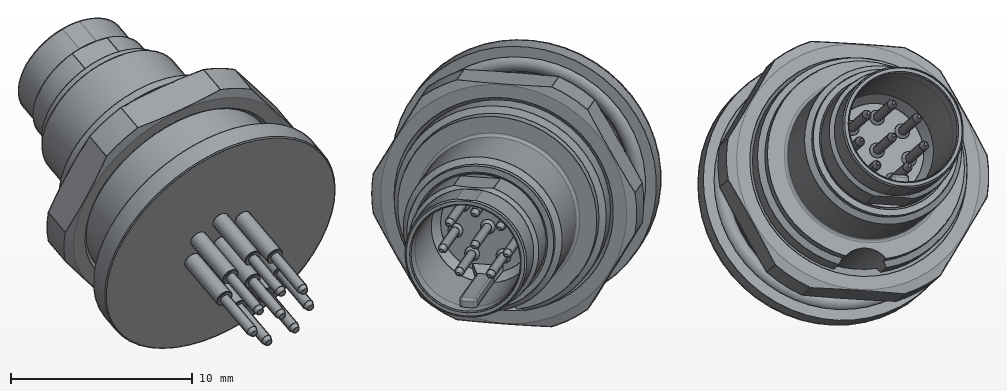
import cadquery as cq
import math


shoulder_start = 1.83
shoulder_end = 2.01
ring_start = 3.67
barrel_start = 4.0
step_start = 7.85
thread_start = 8.4
nut_start = 9.44
nut_end = 11.47
flange_start = 14.43
flange_end = 15.65
boss_end = 19.03
overall_length = 22.1

nose_radius = 6.9 / 2
shoulder_radius = 7.38 / 2
ring_radius = 8.3 / 2
barrel_radius = 9.0 / 2
step_radius = 11.27 / 2
thread_radius = 12.0 / 2
flange_radius = 15.0 / 2

nose_chamfer = 0.09
shoulder_gap_width = 0.1
barrel_chamfer_length = 0.25
barrel_root_fillet = 0.18
thread_chamfer = 0.2
flange_chamfer = 0.07

nose_flat_height = 3.4
shoulder_flat_height = 3.51

keyway_radius = 1.5
keyway_axis_drop = 6.5

seal_bulge = 0.25
seal_section_radius = 0.95 / 2
seal_ring_radius = thread_radius + seal_section_radius

nut_across_flats = 14.01
nut_bore_radius = 5.68
nut_countersink_radius = 6.2
nut_face_radius = 6.96
nut_chamfer_length = 0.13

socket_mouth_radius = 3.1
socket_mouth_chamfer = 0.07
socket_radius = 6.1 / 2
socket_floor_radius = 2.67
socket_lead_in = 0.77
socket_depth = 5.52
socket_taper_length = 0.66

key_start = 0.57
key_half_width = 0.49
key_top_drop = 2.55
key_side_fillet = 0.1
key_front_fillet = 0.18
key_root_half_width = 0.86
key_root_top_drop = 2.2
key_root_length = 0.66

circle_contacts = 7
contact_circle_radius = 3.73 / 2
contact_pitch_angle = 50.5
pin_radius = 0.5 / 2
pin_start = 2.01
pin_tip_radius = 0.09
pin_tip_length = 0.4
collar_radius = 0.85 / 2
collar_height = 0.18
boss_radius = 1.0 / 2
boss_chamfer = 0.05
tail_radius = 0.6 / 2
tail_tip_radius = 0.2
tail_tip_length = 0.27


def revolve_about_axis(outline):
    """Turn a closed outline, drawn as (x, radius), around the X axis."""
    return outline.close().revolve(360, (0, 0, 0), (1, 0, 0))


def turned(points):
    """Solid of revolution from straight (x, radius) segments."""
    return revolve_about_axis(cq.Workplane("XY").polyline(points))


def block(x_start, x_end, half_width, z_bottom, z_top):
    """Box centred on Y = 0."""
    return cq.Workplane("XY").box(
        x_end - x_start, 2 * half_width, z_top - z_bottom, centered=(False, True, False)
    ).translate((x_start, 0, z_bottom))


def make_shell():
    fillet_middle = barrel_root_fillet * (1 - math.sqrt(0.5))
    outline = (
        cq.Workplane("XY")
        .moveTo(0, 0)
        .lineTo(0, nose_radius - nose_chamfer)
        .lineTo(nose_chamfer, nose_radius)
        .lineTo(shoulder_start, nose_radius)
        .lineTo(shoulder_end, shoulder_radius)
        .lineTo(ring_start + shoulder_gap_width, shoulder_radius)
        .lineTo(ring_start, shoulder_radius + shoulder_gap_width)
        .lineTo(ring_start, ring_radius)
        .lineTo(barrel_start, ring_radius)
        .lineTo(barrel_start + barrel_chamfer_length, barrel_radius)
        .lineTo(step_start - barrel_root_fillet, barrel_radius)
        .threePointArc(
            (step_start - fillet_middle, barrel_radius + fillet_middle),
            (step_start, barrel_radius + barrel_root_fillet),
        )
        .lineTo(step_start, step_radius)
        .lineTo(thread_start, step_radius)
        .lineTo(thread_start + thread_chamfer, thread_radius)
        .lineTo(flange_start, thread_radius)
        .lineTo(flange_start, flange_radius)
        .lineTo(flange_end - flange_chamfer, flange_radius)
        .lineTo(flange_end, flange_radius - flange_chamfer)
        .lineTo(flange_end, 0)
    )
    return revolve_about_axis(outline)


def cut_flats(shell):
    """Trim the nose and the shoulder flat on the +Z and -Z sides."""
    for x_start, x_end, height in (
        (0, shoulder_start, nose_flat_height),
        (shoulder_start, ring_start, shoulder_flat_height),
    ):
        above = block(x_start, x_end, shoulder_radius, height, shoulder_radius)
        shell = shell.cut(above).cut(above.mirror("XY"))
    return shell


def make_keyway():
    return (
        cq.Workplane("YZ", origin=(step_start, 0, -keyway_axis_drop))
        .circle(keyway_radius)
        .extrude(flange_start - step_start)
    )


def make_seal():
    return (
        cq.Workplane("XY")
        .center(flange_start - seal_bulge + seal_section_radius, seal_ring_radius)
        .circle(seal_section_radius)
        .revolve(360, (0, -seal_ring_radius, 0), (1, -seal_ring_radius, 0))
    )


def make_nut():
    """Hexagon with flats facing +Z and -Z, its corners turned to the flange diameter."""
    hexagon = (
        cq.Workplane("YZ", origin=(nut_start, 0, 0))
        .polygon(6, nut_across_flats / math.cos(math.pi / 6))
        .extrude(nut_end - nut_start)
    )
    turned_blank = turned([
        (nut_start, 0),
        (nut_start, nut_face_radius),
        (nut_start + nut_chamfer_length, flange_radius),
        (nut_end - nut_chamfer_length, flange_radius),
        (nut_end, nut_face_radius),
        (nut_end, 0),
    ])
    countersink_depth = nut_countersink_radius - nut_bore_radius
    bore = turned([
        (nut_start, 0),
        (nut_start, nut_countersink_radius),
        (nut_start + countersink_depth, nut_bore_radius),
        (nut_end - countersink_depth, nut_bore_radius),
        (nut_end, nut_countersink_radius),
        (nut_end, 0),
    ])
    return hexagon.intersect(turned_blank).cut(bore)


def make_socket():
    return turned([
        (0, 0),
        (0, socket_mouth_radius + socket_mouth_chamfer),
        (socket_mouth_chamfer, socket_mouth_radius),
        (socket_lead_in, socket_radius),
        (socket_depth - socket_taper_length, socket_radius),
        (socket_depth, socket_floor_radius),
        (socket_depth, 0),
    ])


def make_key():
    """Rounded bar along the bottom of the socket with a flared root at the socket floor."""
    wall_drop = (socket_radius + nose_radius) / 2
    bar = block(key_start, socket_depth, key_half_width, -wall_drop, -key_top_drop)
    bar = bar.edges("|X and >Z").fillet(key_side_fillet)
    bar = bar.faces("<X").edges("not <Z").fillet(key_front_fillet)
    root = (
        cq.Workplane("YZ", origin=(socket_depth - key_root_length, 0, 0))
        .center(0, -(wall_drop + key_top_drop) / 2)
        .rect(2 * key_half_width, wall_drop - key_top_drop)
        .workplane(offset=key_root_length)
        .center(0, (key_top_drop - key_root_top_drop) / 2)
        .rect(2 * key_root_half_width, wall_drop - key_root_top_drop)
        .loft(ruled=True)
    )
    return bar.union(root)


def make_contact():
    """Pin, collar on the socket floor, rear boss and solder tail, all on the X axis."""
    return turned([
        (pin_start, 0),
        (pin_start, pin_tip_radius),
        (pin_start + pin_tip_length, pin_radius),
        (socket_depth - collar_height, pin_radius),
        (socket_depth, collar_radius),
        (flange_end, collar_radius),
        (flange_end, boss_radius),
        (boss_end - boss_chamfer, boss_radius),
        (boss_end, boss_radius - boss_chamfer),
        (boss_end, tail_radius),
        (overall_length - tail_tip_length, tail_radius),
        (overall_length, tail_tip_radius),
        (overall_length, 0),
    ])


def contact_places():
    """(y, z) of every contact; the circle is symmetric about the contact straight up."""
    places = [(0, 0)]
    for index in range(circle_contacts):
        angle = math.radians(contact_pitch_angle * (index - (circle_contacts - 1) / 2))
        places.append((contact_circle_radius * math.sin(angle), contact_circle_radius * math.cos(angle)))
    return places


result = cut_flats(make_shell()).cut(make_keyway())
result = result.union(make_seal()).union(make_nut())
result = result.cut(make_socket()).union(make_key())
contact = make_contact()
for y, z in contact_places():
    result = result.union(contact.translate((0, y, z)))